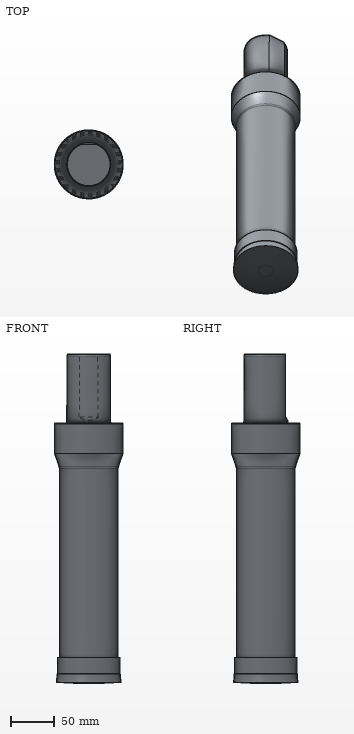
import cadquery as cq

total_height = 382.0
shank_length = 80.0
collar_top = total_height - shank_length

tube_radius = 68.0 / 2
collar_radius = 80.0 / 2
collar_chamfer = 1.0
collar_bottom = 267.0
flare_bottom = 251.5
flare_lip = 0.6
flare_lip_bottom = 249.5
flare_hollow = 0.35

shank_mean_radius = 50.79 / 2
shank_half_taper = 0.15
shank_base_radius = shank_mean_radius + shank_half_taper
shank_top_radius = shank_mean_radius - shank_half_taper
shank_chamfer_height = 2.0
shank_chamfer_width = 0.5
flat_offset = 23.0
flat_bottom = collar_top + 3.0
flat_runout_height = 4.0

ring_radius = 72.6 / 2
ring_top = 30.5

cap_top = 12.0
cap_chamfer = 0.9
cap_upper_radius = 73.1 / 2
cap_rim_radius = 75.0 / 2
cap_cone_height = 1.5
cap_land_radius = 18.0 / 2


def revolve_about_z(outline):
    return outline.close().revolve(360, (0, 0, 0), (0, 1, 0))


def make_housing():
    """Tapered shank, flared collar, tube and lower ring in one solid."""
    flare_end_radius = tube_radius + flare_lip
    flare_middle = (
        (collar_radius + flare_end_radius) / 2 - flare_hollow,
        (collar_bottom + flare_bottom) / 2,
    )
    outline = (
        cq.Workplane("XZ")
        .moveTo(0, cap_top)
        .lineTo(ring_radius, cap_top)
        .lineTo(ring_radius, ring_top)
        .lineTo(tube_radius, ring_top)
        .lineTo(tube_radius, flare_lip_bottom)
        .lineTo(flare_end_radius, flare_bottom)
        .threePointArc(flare_middle, (collar_radius, collar_bottom))
        .lineTo(collar_radius, collar_top - collar_chamfer)
        .lineTo(collar_radius - collar_chamfer, collar_top)
        .lineTo(shank_base_radius, collar_top)
        .lineTo(shank_top_radius, total_height - shank_chamfer_height)
        .lineTo(shank_top_radius - shank_chamfer_width, total_height)
        .lineTo(0, total_height)
    )
    return revolve_about_z(outline).cut(make_shank_flat())


def make_shank_flat():
    """Cutter for the flat on the +Y side of the shank, with a sloping run-out at its foot."""
    return (
        cq.Workplane("YZ")
        .moveTo(flat_offset, total_height)
        .lineTo(flat_offset, flat_bottom + flat_runout_height)
        .lineTo(shank_base_radius, flat_bottom)
        .lineTo(collar_radius, flat_bottom)
        .lineTo(collar_radius, total_height)
        .close()
        .extrude(collar_radius, both=True)
    )


def make_end_cap():
    """Slightly flared cap whose bottom rises in a shallow cone from a small flat land."""
    outline = (
        cq.Workplane("XZ")
        .moveTo(0, 0)
        .lineTo(cap_land_radius, 0)
        .lineTo(cap_rim_radius, cap_cone_height)
        .lineTo(cap_upper_radius, cap_top - cap_chamfer)
        .lineTo(cap_upper_radius - cap_chamfer, cap_top)
        .lineTo(0, cap_top)
    )
    return revolve_about_z(outline)


housing = make_housing()
end_cap = make_end_cap()

result = cq.Compound.makeCompound([housing.val(), end_cap.val()])